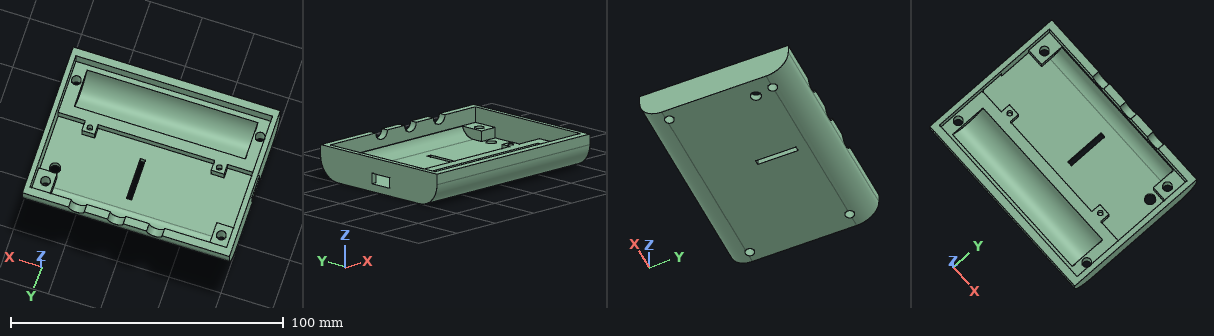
import cadquery as cq

LENGTH = 80.0
WIDTH = 60.0
HEIGHT = 13.0
EDGE_RADIUS = 9.0
END_WALL = 2.1
SIDE_WALL = 3.0
FLOOR = 3.0

SUPPORT_TOP = 7.0
REAR_BLOCK_FRONT = 16.8
FRONT_BLOCK_BACK = -6.0
REAR_TROUGH_LENGTH = 61.6

FRONT_TROUGH_LENGTH = 65.9
FRONT_TROUGH_RADIUS = 9.0
FRONT_TROUGH_Y = -17.5
FRONT_TROUGH_Z = 12.0

STANDOFF_X = 25.0
STANDOFF_LENGTH = 5.0
STANDOFF_DEPTH = 4.0
PILOT_DIAMETER = 2.0
PILOT_DEPTH = 4.0

SCREW_DIAMETER = 3.5
REAR_SCREW_X = 33.9
REAR_SCREW_Y = 21.0
FRONT_SCREW_X = 35.4
FRONT_SCREW_Y = -20.0
FLOOR_HOLE_DIAMETER = 4.0
FLOOR_HOLE_X = 32.6
FLOOR_HOLE_Y = 13.6
SLOT_X = 3.1
SLOT_WIDTH = 1.9
SLOT_BACK = 16.6
SLOT_LENGTH = 16.2

NOTCH_DIAMETER = 6.0
NOTCH_PITCH = 15.0
NOTCH_MIDDLE_X = 4.0
WINDOW_Y = -1.0
WINDOW_WIDTH = 9.0
WINDOW_HEIGHT = 4.0

CAVITY_LENGTH = LENGTH - 2 * END_WALL
CAVITY_HALF_WIDTH = WIDTH / 2 - SIDE_WALL
ROUND_AXIS_Y = WIDTH / 2 - EDGE_RADIUS
REAR_TROUGH_RADIUS = EDGE_RADIUS - SIDE_WALL


def box(length, y_min, y_max, z_min, z_max, x_mid=0.0):
    """Box centred on x_mid in X, between the given Y and Z limits."""
    block = cq.Workplane("XY").box(length, y_max - y_min, z_max - z_min, centered=(True, False, False))
    return block.translate((x_mid, y_min, z_min))


def rod_along_x(length, radius, y, z):
    """Cylinder parallel to X, centred on X = 0."""
    return cq.Workplane("YZ").center(y, z).circle(radius).extrude(length / 2, both=True)


def drill(body, x, y, diameter, bottom=0.0):
    """Vertical hole from above the part down to the given level."""
    cutter = cq.Workplane("XY", origin=(x, y, bottom)).circle(diameter / 2).extrude(HEIGHT)
    return body.cut(cutter)


def make_shell():
    """Open tray with its two long lower edges rounded."""
    block = box(LENGTH, -WIDTH / 2, WIDTH / 2, 0, HEIGHT)
    return block.edges("|X and <Z").fillet(EDGE_RADIUS)


def make_cavity():
    """Interior space, leaving the front support and two rear corner blocks."""
    upper = box(CAVITY_LENGTH, -CAVITY_HALF_WIDTH, CAVITY_HALF_WIDTH, SUPPORT_TOP, HEIGHT)
    bay = box(CAVITY_LENGTH, FRONT_BLOCK_BACK, REAR_BLOCK_FRONT, FLOOR, HEIGHT)
    rear_flat = box(REAR_TROUGH_LENGTH, REAR_BLOCK_FRONT, ROUND_AXIS_Y, FLOOR, HEIGHT)
    rear_round = rod_along_x(REAR_TROUGH_LENGTH, REAR_TROUGH_RADIUS, ROUND_AXIS_Y, EDGE_RADIUS)
    front_round = rod_along_x(FRONT_TROUGH_LENGTH, FRONT_TROUGH_RADIUS, FRONT_TROUGH_Y, FRONT_TROUGH_Z)
    return upper.union(bay).union(rear_flat).union(rear_round).union(front_round)


result = make_shell().cut(make_cavity())

for x in (-STANDOFF_X, STANDOFF_X):
    standoff_back = FRONT_BLOCK_BACK + STANDOFF_DEPTH
    result = result.union(box(STANDOFF_LENGTH, FRONT_BLOCK_BACK, standoff_back, FLOOR, SUPPORT_TOP, x))
    result = drill(result, x, standoff_back - STANDOFF_DEPTH / 2, PILOT_DIAMETER, SUPPORT_TOP - PILOT_DEPTH)

for side in (-1, 1):
    result = drill(result, side * REAR_SCREW_X, REAR_SCREW_Y, SCREW_DIAMETER)
    result = drill(result, side * FRONT_SCREW_X, FRONT_SCREW_Y, SCREW_DIAMETER)

result = drill(result, FLOOR_HOLE_X, FLOOR_HOLE_Y, FLOOR_HOLE_DIAMETER)
result = result.cut(box(SLOT_WIDTH, SLOT_BACK - SLOT_LENGTH, SLOT_BACK, 0, HEIGHT, SLOT_X))

for step in (-1, 0, 1):
    notch_x = NOTCH_MIDDLE_X + step * NOTCH_PITCH
    notch = cq.Workplane("XZ", origin=(notch_x, WIDTH / 2, HEIGHT)).circle(NOTCH_DIAMETER / 2).extrude(SIDE_WALL)
    result = result.cut(notch)

window = box(
    END_WALL,
    WINDOW_Y - WINDOW_WIDTH / 2,
    WINDOW_Y + WINDOW_WIDTH / 2,
    FLOOR,
    FLOOR + WINDOW_HEIGHT,
    (END_WALL - LENGTH) / 2,
)
result = result.cut(window)